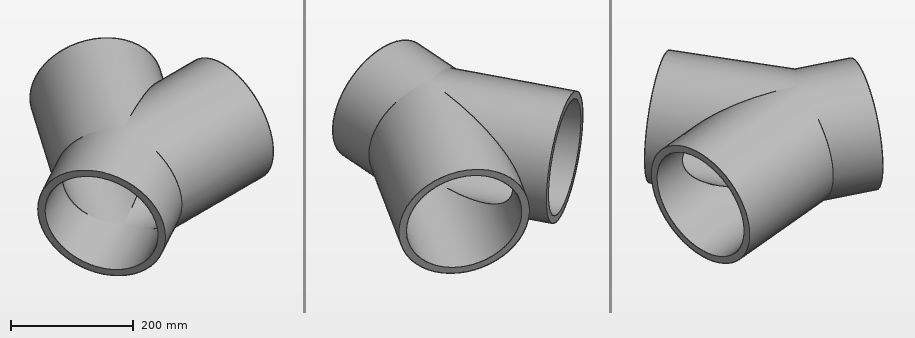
import cadquery as cq

outer_diameter = 219.0
bore_diameter = 193.5
inlet_length = 114.0
branch_length = 228.5
branch_angle = 30


def pipe_cylinder(diameter, length, angle):
    """Cylinder from the origin, turned about Z by angle from the +Y axis."""
    along_y = cq.Workplane("XZ").circle(diameter / 2).extrude(-length)
    return along_y.rotate((0, 0, 0), (0, 0, 1), angle)


def three_way(diameter):
    """Inlet and both branches as one solid of the given diameter."""
    body = pipe_cylinder(diameter, inlet_length, 180)
    for angle in (-branch_angle, branch_angle):
        body = body.union(pipe_cylinder(diameter, branch_length, angle))
    return body


result = three_way(outer_diameter).cut(three_way(bore_diameter))